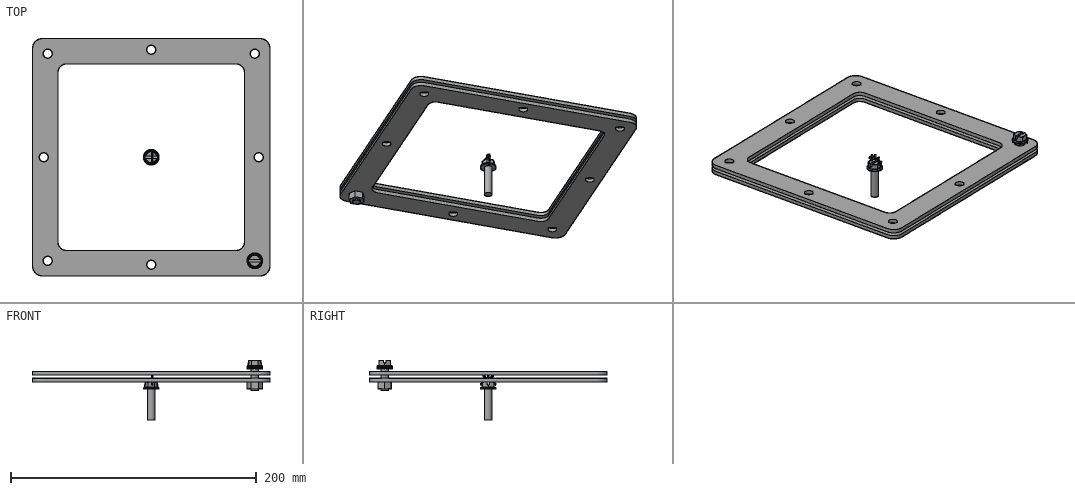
import cadquery as cq
import math

frame_side = 193.7
frame_opening = 151.7
frame_thickness = 3.1
frame_gap = 2.5
frame_corner_radius = 8.5
opening_corner_radius = 6.5
frame_hole_diameter = 7.2
corner_hole_spacing = 168.7
side_hole_spacing = 175.0

shank_diameter = 6.4
middle_shank_length = 25.4
corner_shank_length = 19.0
flange_diameter = 12.8
flange_rim_thickness = 0.8
flange_height = 1.5
flange_top_diameter = 11.0
head_height = 5.6
head_across_flats = 9.5
head_top_diameter = 9.1
head_chamfer_angle = math.radians(22)
slot_width = 1.7
slot_depth = 2.3

washer_diameter = 12.8
washer_hole_diameter = 6.5
washer_ring_diameter = 7.5
washer_sheet_thickness = 0.7
tooth_count = 10
tooth_width = 1.4
tooth_twist = 35.0
washer_height = (
    tooth_width * math.sin(math.radians(tooth_twist))
    + washer_sheet_thickness * math.cos(math.radians(tooth_twist))
)

nut_across_flats = 11.0
nut_height = 5.6

total_height = 48.6
lower_frame_bottom = 31.0
upper_frame_bottom = lower_frame_bottom + frame_thickness + frame_gap
corner_seat = total_height - head_height
middle_seat = middle_shank_length


def cylinder(diameter, height):
    """Upright cylinder standing on Z = 0."""
    return cq.Workplane("XY").circle(diameter / 2).extrude(height)


def hexagon(across_flats, height):
    """Hexagonal prism standing on Z = 0, with two of its corners along X."""
    across_corners = across_flats / math.cos(math.pi / 6)
    return cq.Workplane("XY").polygon(6, across_corners).extrude(height)


def rounded_square(side, corner_radius, height):
    """Square plate on Z = 0 with rounded corners."""
    return cq.Workplane("XY").rect(side, side).extrude(height).edges("|Z").fillet(corner_radius)


def tapered_disc(diameter, rim_height, top_diameter, height):
    """Disc on Z = 0 whose straight rim runs into a cone up to a smaller flat top."""
    profile = [
        (0, 0),
        (diameter / 2, 0),
        (diameter / 2, rim_height),
        (top_diameter / 2, height),
        (0, height),
    ]
    return cq.Workplane("XZ").polyline(profile).close().revolve(360, (0, 0), (0, 1))


def make_frame():
    """Square frame on Z = 0 with a hole in every corner and in the middle of every side."""
    corner = corner_hole_spacing / 2
    side = side_hole_spacing / 2
    hole_centers = [(x, y) for x in (-corner, corner) for y in (-corner, corner)]
    hole_centers += [(-side, 0), (side, 0), (0, -side), (0, side)]

    plate = rounded_square(frame_side, frame_corner_radius, frame_thickness)
    opening = rounded_square(frame_opening, opening_corner_radius, frame_thickness)
    holes = (
        cq.Workplane("XY")
        .pushPoints(hole_centers)
        .circle(frame_hole_diameter / 2)
        .extrude(frame_thickness)
    )
    return plate.cut(opening).cut(holes)


def make_head():
    """Hexagon whose upper corners are chamfered by a cone."""
    cone_drop = (flange_diameter - head_top_diameter) / 2 * math.tan(head_chamfer_angle)
    crown = tapered_disc(flange_diameter, head_height - cone_drop, head_top_diameter, head_height)
    return hexagon(head_across_flats, head_height).intersect(crown)


def make_slot():
    """Driver slot along X, with a half-round bottom."""
    bottom_axis_z = head_height - slot_depth + slot_width / 2
    round_bottom = (
        cq.Workplane("YZ")
        .center(0, bottom_axis_z)
        .circle(slot_width / 2)
        .extrude(flange_diameter / 2, both=True)
    )
    straight_sides = (
        cq.Workplane("XY", origin=(0, 0, bottom_axis_z))
        .rect(flange_diameter, slot_width)
        .extrude(head_height - bottom_axis_z)
    )
    return round_bottom.union(straight_sides)


def make_screw(shank_length):
    """Screw along Z with the underside of its flange on Z = 0."""
    shank = cylinder(shank_diameter, -shank_length)
    flange = tapered_disc(flange_diameter, flange_rim_thickness, flange_top_diameter, flange_height)
    return make_head().union(flange).union(shank).cut(make_slot())


def make_washer():
    """Washer lying on Z = 0, with one tooth along X; each tooth is twisted about its own length."""
    middle_z = washer_height / 2
    ring_bottom = middle_z - washer_sheet_thickness / 2
    washer = cylinder(washer_ring_diameter, washer_sheet_thickness).translate((0, 0, ring_bottom))
    tooth = (
        cq.Workplane("XY")
        .box(washer_diameter, tooth_width, washer_sheet_thickness, centered=(False, True, True))
        .rotate((0, 0, 0), (1, 0, 0), tooth_twist)
        .translate((0, 0, middle_z))
    )
    for i in range(tooth_count):
        washer = washer.union(tooth.rotate((0, 0, 0), (0, 0, 1), i * 360 / tooth_count))
    rim = cylinder(washer_diameter, washer_height)
    hole = cylinder(washer_hole_diameter, washer_height)
    return washer.intersect(rim).cut(hole)


def make_nut():
    """Hexagon nut on Z = 0."""
    return hexagon(nut_across_flats, nut_height).cut(cylinder(shank_diameter, nut_height))


frames = [make_frame().translate((0, 0, bottom)) for bottom in (lower_frame_bottom, upper_frame_bottom)]

corner_x = corner_hole_spacing / 2
corner_y = -corner_hole_spacing / 2
corner_screw = make_screw(corner_shank_length).translate((corner_x, corner_y, corner_seat))
corner_washer = make_washer().translate((corner_x, corner_y, corner_seat - washer_height))
nut = make_nut().translate((corner_x, corner_y, lower_frame_bottom - nut_height))

middle_washer = (
    make_washer()
    .rotate((0, 0, 0), (0, 1, 0), 90)
    .translate((0, 0, middle_seat + head_height))
)
middle_screw = make_screw(middle_shank_length).translate((0, 0, middle_seat)).cut(middle_washer)

result = cq.Compound.makeCompound(
    [
        *[frame.val() for frame in frames],
        corner_screw.val(),
        corner_washer.val(),
        nut.val(),
        middle_screw.val(),
        middle_washer.val(),
    ]
)